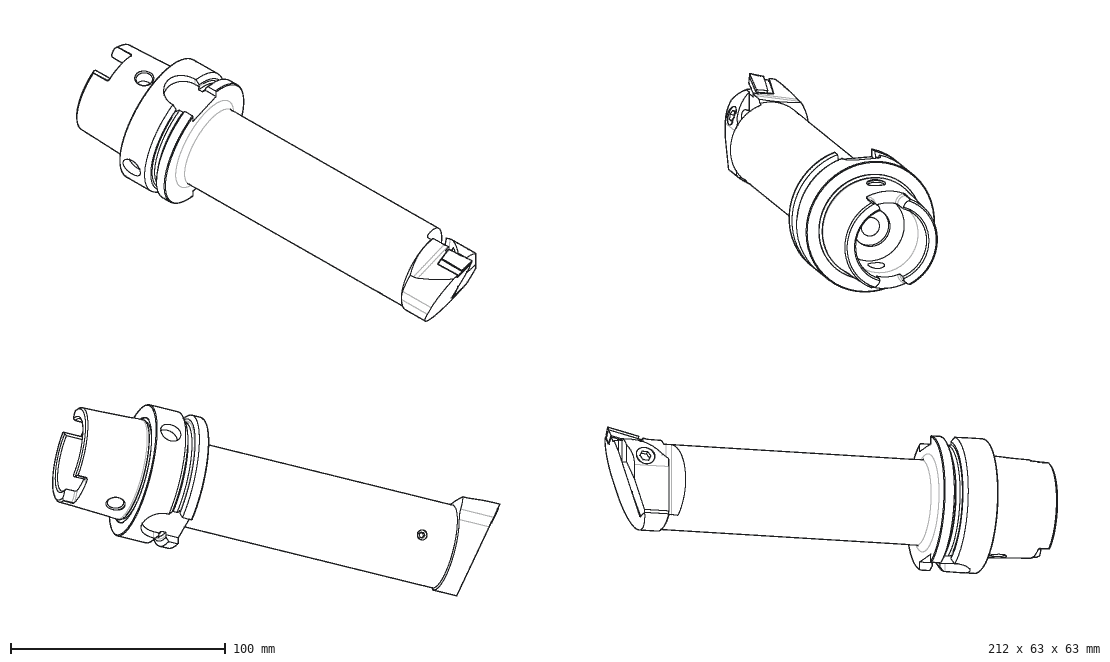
import cadquery as cq
import math


mouth_radius = 22.7
taper_radius = 24.0
taper_end_x = 29.9
taper_chamfer = 0.8
neck_radius = 23.3
neck_length = 0.6
flange_face_x = 31.5
face_recess_radius = 25.2
face_recess_depth = 0.6

bore_radius = 17.4
bore_chamfer = 0.8
bore_straight_depth = 13.5
bore_end_radius = 15.9
bore_depth = 29.7
counterbore_radius = 9.0
counterbore_depth = 2.1
coolant_radius = 4.5
coolant_cone_length = 2.5

slot_half_width = 5.7
slot_floor_fillet = 0.8
slot_corner_radius = 3.8
slot_corner_z = 20.3
upper_slot_depth = 9.3
lower_slot_depth = 5.7
cross_hole_radius = 3.8
cross_hole_mouth_radius = 4.5
cross_hole_x = 23.0

flange_diameter = 63.0
flange_radius = flange_diameter / 2
flange_chamfer = 0.5
flange_back_x = 57.8
groove_radius = 27.3
groove_shoulder_radius = 29.2
groove_fillet = 0.8
groove_start_x = 46.2
groove_floor_start_x = 48.0
groove_floor_end_x = 51.7
groove_end_x = 53.0
notch_half_width = 9.1
notch_center_x = 45.5
notch_floor = 26.3
chip_hole_diameter = 10.0
chip_hole_x = 38.8
chip_hole_depth = 4.7

bar_radius = 20.0
bar_fillet = 3.0
bar_end_x = 185.6

tip_x = 212.0
tip_z = 27.0
head_radius = 20.8
head_raise = 6.5
head_cone_slope = 1.4
end_slope_y = 0.06
end_slope_z = 0.34
end_setback = 0.32
bend_x = 193.9
bend_z = 20.8
bend_skew = 0.1
bend_radius = 8.3
rake_slope_x = 0.28
rake_slope_y = 0.19
nose_relief_start_x = 207.7

gullet_wall_y = 3.5
gullet_floor = -15.7
gullet_outer_x = 180.0
gullet_inner_x = 182.9
gullet_fillet = 2.1
ledge_floor = 20.1
ledge_start_x = 195.8
ledge_overlap = 0.5

insert_length = 15.3
insert_thickness = 1.3
insert_back_y = 1.5
insert_outline = [(0, 0), (-insert_length, insert_back_y), (-insert_length, -4.2), (-1.7, -6.5)]
shim_length = 16.0
shim_thickness = 2.5
shim_outline = [(0, 0), (-shim_length, insert_back_y), (-shim_length, -7.2), (-1.7, -9.3)]

clamp_radius = 14.8
clamp_start_x = 186.5
clamp_end_x = 206.0
clamp_chamfer_x = 2.8
clamp_chamfer_y = 3.8
clamp_wall_top = 21.6
clamp_wall_bend_x = 189.5
clamp_wall_end_x = 200.9
clamp_wall_foot = [(clamp_start_x, 8.3), (clamp_wall_bend_x, 8.3), (clamp_wall_end_x, 3.8)]
clamp_wall_head = [(clamp_start_x, 17.0), (clamp_wall_bend_x, 15.0), (clamp_wall_end_x, 4.0)]

clamp_screw_radius = 4.5
clamp_screw_length = 8.5
clamp_screw_x = 197.5
clamp_screw_angle = 20.0
set_screw_radius = 2.3
set_screw_length = 6.4
set_screw_x = 169.5
set_screw_angle = 214.0
screw_sink = 0.6
socket_ratio = 0.6
socket_depth = 2.1

reach = 84.8
overrun = 2.1


def bar_blank():
    """Solid of revolution: taper, flange with its gripper groove, and bar."""
    recess_x = flange_face_x + face_recess_depth
    neck_start_x = flange_face_x - neck_length
    return (
        cq.Workplane("XY")
        .moveTo(0, 0)
        .lineTo(0, mouth_radius - taper_chamfer)
        .lineTo(taper_chamfer, mouth_radius)
        .lineTo(taper_end_x, taper_radius)
        .lineTo(neck_start_x, taper_radius)
        .lineTo(neck_start_x, neck_radius)
        .lineTo(recess_x, neck_radius)
        .lineTo(recess_x, face_recess_radius)
        .lineTo(flange_face_x, face_recess_radius)
        .lineTo(flange_face_x, flange_radius - flange_chamfer)
        .lineTo(flange_face_x + flange_chamfer, flange_radius)
        .lineTo(groove_start_x, flange_radius)
        .lineTo(groove_floor_start_x, groove_shoulder_radius)
        .lineTo(groove_floor_start_x, groove_radius + groove_fillet)
        .radiusArc((groove_floor_start_x + groove_fillet, groove_radius), -groove_fillet)
        .lineTo(groove_floor_end_x - groove_fillet, groove_radius)
        .radiusArc((groove_floor_end_x, groove_radius + groove_fillet), -groove_fillet)
        .lineTo(groove_floor_end_x, groove_shoulder_radius)
        .lineTo(groove_end_x, flange_radius)
        .lineTo(flange_back_x - flange_chamfer, flange_radius)
        .lineTo(flange_back_x, flange_radius - flange_chamfer)
        .lineTo(flange_back_x, bar_radius + bar_fillet)
        .radiusArc((flange_back_x + bar_fillet, bar_radius), -bar_fillet)
        .lineTo(bar_end_x, bar_radius)
        .lineTo(bar_end_x, 0)
        .close()
        .revolve(360, (0, 0, 0), (1, 0, 0))
    )


def bore():
    """Stepped bore of the taper shank, ending in a conical coolant hole."""
    counterbore_x = bore_depth + counterbore_depth
    return (
        cq.Workplane("XY")
        .polyline([
            (0, 0),
            (0, bore_radius + bore_chamfer),
            (bore_chamfer, bore_radius),
            (bore_straight_depth, bore_radius),
            (bore_depth, bore_end_radius),
            (bore_depth, counterbore_radius),
            (counterbore_x, counterbore_radius),
            (counterbore_x, coolant_radius),
            (counterbore_x + coolant_cone_length, 0),
        ])
        .close()
        .revolve(360, (0, 0, 0), (1, 0, 0))
    )


def drive_slot(depth, side):
    """Slot across the taper wall, with rounded outer corners, on the +Z or -Z side."""
    flare = slot_half_width + slot_corner_radius
    round_z = slot_corner_z - slot_corner_radius
    slot = (
        cq.Workplane("YZ")
        .moveTo(-slot_half_width, 0)
        .lineTo(slot_half_width, 0)
        .lineTo(slot_half_width, side * round_z)
        .radiusArc((flare, side * slot_corner_z), side * slot_corner_radius)
        .lineTo(flare, side * flange_radius)
        .lineTo(-flare, side * flange_radius)
        .lineTo(-flare, side * slot_corner_z)
        .radiusArc((-slot_half_width, side * round_z), side * slot_corner_radius)
        .close()
        .extrude(depth)
    )
    return slot.faces(">X").edges().fillet(slot_floor_fillet)


def cross_hole():
    """Hole through both taper walls along Z, with countersunk mouths."""
    sink = cross_hole_mouth_radius - cross_hole_radius
    mouth_z = taper_radius - sink
    return (
        cq.Workplane("XZ", origin=(cross_hole_x, 0, 0))
        .polyline([
            (0, -taper_radius),
            (cross_hole_mouth_radius, -taper_radius),
            (cross_hole_mouth_radius, -mouth_z),
            (cross_hole_radius, sink - mouth_z),
            (cross_hole_radius, mouth_z - sink),
            (cross_hole_mouth_radius, mouth_z),
            (cross_hole_mouth_radius, taper_radius),
            (0, taper_radius),
        ])
        .close()
        .revolve(360, (0, 0, 0), (0, 1, 0))
    )


def flange_notch(side):
    """Round-ended flat running out of the flange back, on the +Z or -Z side."""
    height = flange_radius - notch_floor + overrun
    length = flange_back_x - notch_center_x
    middle = notch_floor + height / 2
    straight = cq.Workplane("XY").box(length, 2 * notch_half_width, height)
    straight = straight.translate((notch_center_x + length / 2, 0, 0))
    end = cq.Workplane("XY").cylinder(height, notch_half_width).translate((notch_center_x, 0, 0))
    return straight.union(end).translate((0, 0, side * middle))


def chip_hole():
    """Blind round hole in the -Y side of the flange."""
    return (
        cq.Workplane("XZ", origin=(chip_hole_x, chip_hole_depth - flange_radius, 0))
        .circle(chip_hole_diameter / 2)
        .extrude(reach)
    )


def beyond_plane(origin, normal):
    """Block filling the space on the side of a plane that its normal points to."""
    plane = cq.Plane(origin=origin, normal=normal)
    return cq.Workplane(plane).rect(2 * reach, 2 * reach).extrude(reach)


def beyond_end(setback):
    """Space in front of the slanted end face."""
    return beyond_plane((tip_x - setback, 0, tip_z), (1, -end_slope_y, -end_slope_z))


def head_blank():
    """Stadium-shaped head that widens out of the bar along a cone."""
    length = tip_x - bar_end_x
    cone_radius = bar_radius + head_cone_slope * length
    head = (
        cq.Workplane("YZ", origin=(bar_end_x, 0, 0))
        .moveTo(-head_radius, 0)
        .lineTo(-head_radius, head_raise)
        .threePointArc((0, head_raise + head_radius), (head_radius, head_raise))
        .lineTo(head_radius, 0)
        .threePointArc((0, -head_radius), (-head_radius, 0))
        .close()
        .extrude(length)
    )
    cone = (
        cq.Workplane("XY")
        .polyline([(bar_end_x, 0), (bar_end_x, bar_radius), (tip_x, cone_radius), (tip_x, 0)])
        .close()
        .revolve(360, (0, 0, 0), (1, 0, 0))
    )
    return head.intersect(cone).cut(beyond_end(end_setback))


def above_rake():
    """Space above the head's flat top and its rising rake face, joined by a fillet."""
    angle = math.atan(rake_slope_x)
    tangent = bend_radius * math.tan(angle / 2)
    plane = cq.Plane(
        origin=(bend_x, 0, bend_z),
        xDir=(1, -bend_skew, 0),
        normal=(-bend_skew, -1, -rake_slope_y),
    )
    flat_length = bend_x - gullet_outer_x
    rise = reach * rake_slope_x
    return (
        cq.Workplane(plane)
        .moveTo(-flat_length, 0)
        .lineTo(-tangent, 0)
        .radiusArc((tangent * math.cos(angle), tangent * math.sin(angle)), -bend_radius)
        .lineTo(reach, rise)
        .lineTo(reach, 2 * rise)
        .lineTo(-flat_length, 2 * rise)
        .close()
        .extrude(reach, both=True)
    )


def gullet():
    """Deep chip pocket on the +Y side of the head, running into the bar end."""
    pocket = (
        cq.Workplane("XY", origin=(0, 0, gullet_floor))
        .polyline([
            (gullet_outer_x, bar_radius),
            (gullet_inner_x, gullet_wall_y),
            (nose_relief_start_x, gullet_wall_y),
            (tip_x, 0),
            (tip_x + overrun, 0),
            (tip_x + overrun, 2 * bar_radius),
            (gullet_outer_x, 2 * bar_radius),
        ])
        .close()
        .extrude(reach)
    )
    corner_point = (gullet_inner_x, gullet_wall_y, gullet_floor + reach / 2)
    corner = cq.selectors.NearestToPointSelector(corner_point)
    return pocket.edges("|Z").edges(corner).fillet(gullet_fillet)


def insert_ledge():
    """Step beside the insert that leaves its +Y edge standing free."""
    return (
        cq.Workplane("XY", origin=(0, 0, ledge_floor))
        .polyline([
            (ledge_start_x, insert_back_y - ledge_overlap),
            (tip_x, -ledge_overlap),
            (tip_x, gullet_wall_y),
            (ledge_start_x, gullet_wall_y),
        ])
        .close()
        .extrude(tip_z - ledge_floor)
    )


def rake_prism(outline, top, thickness):
    """Plate parallel to the rake face, with its top at a depth below the tip."""
    normal = cq.Vector(-rake_slope_x, -rake_slope_y, 1).normalized()
    origin = cq.Vector(tip_x, 0, tip_z) - normal * top
    plane = cq.Plane(origin=origin, xDir=(1, 0, rake_slope_x), normal=normal)
    return cq.Workplane(plane).polyline(outline).close().extrude(-thickness)


def make_insert():
    """Cutting insert whose front corner is the tool tip."""
    return rake_prism(insert_outline, 0, insert_thickness).cut(beyond_end(0))


def make_shim():
    """Seat plate under the insert, wider than it on the -Y side."""
    return rake_prism(shim_outline, insert_thickness, shim_thickness).cut(beyond_end(0))


def insert_pocket():
    """Seat for the shim and the insert, open upward."""
    depth = insert_thickness + shim_thickness
    seat = rake_prism(shim_outline, 0, depth)
    return seat.union(rake_prism(insert_outline, 0, insert_thickness))


def screw_plane(x, axis_z, seat_radius, angle):
    """Plane facing outward from a line along X; the angle runs from +Y toward +Z."""
    y = math.cos(math.radians(angle))
    z = math.sin(math.radians(angle))
    return cq.Plane(
        origin=(x, seat_radius * y, axis_z + seat_radius * z), xDir=(1, 0, 0), normal=(0, y, z)
    )


def clamp_screw_plane():
    return screw_plane(clamp_screw_x, head_raise, clamp_radius - screw_sink, clamp_screw_angle)


def set_screw_plane():
    return screw_plane(set_screw_x, 0, bar_radius - screw_sink, set_screw_angle)


def make_screw(plane, radius, length):
    """Headless screw below a plane, with a hexagon socket in its outer end."""
    shank = cq.Workplane(plane).circle(radius).extrude(-length)
    socket = cq.Workplane(plane).polygon(6, 2 * socket_ratio * radius).extrude(-socket_depth)
    return shank.cut(socket)


def screw_hole(plane, radius, length):
    """Hole for a screw, open outward."""
    return cq.Workplane(plane).workplane(offset=-length).circle(radius).extrude(length + overrun)


def make_holder():
    """Taper shank, flange, bar and head in one piece, with seats for the other bodies."""
    holder = bar_blank().cut(bore())
    holder = holder.cut(drive_slot(upper_slot_depth, 1))
    holder = holder.cut(drive_slot(lower_slot_depth, -1))
    holder = holder.cut(cross_hole())
    for side in (1, -1):
        holder = holder.cut(flange_notch(side))
    holder = holder.cut(chip_hole())
    head = head_blank().cut(above_rake()).cut(insert_ledge())
    holder = holder.union(head).cut(gullet())
    holder = holder.cut(insert_pocket())
    return holder.cut(screw_hole(set_screw_plane(), set_screw_radius, set_screw_length))


def clamp_wall_outline(wall):
    """Outline between a clamp wall line and the gullet wall, with room beyond both ends."""
    (start_x, start_y), _, (end_x, _) = wall
    return [(start_x - overrun, start_y), *wall, (end_x, 0), (start_x - overrun, 0)]


def clamp_wall_space():
    """Space in front of the clamp's leaning wall, which faces the insert side."""
    return (
        cq.Workplane("XY", origin=(0, 0, gullet_floor))
        .polyline(clamp_wall_outline(clamp_wall_foot))
        .close()
        .workplane(offset=clamp_wall_top - gullet_floor)
        .polyline(clamp_wall_outline(clamp_wall_head))
        .close()
        .loft(ruled=True)
    )


def make_clamp():
    """Wedge standing in the gullet, with a round back and one bevelled corner."""
    round_top = head_raise + math.sqrt(clamp_radius**2 - gullet_wall_y**2)
    foot_y = math.sqrt(head_radius**2 - gullet_floor**2)
    foot_z = -math.sqrt(head_radius**2 - clamp_radius**2)
    body = (
        cq.Workplane("YZ", origin=(clamp_start_x, 0, 0))
        .moveTo(gullet_wall_y, gullet_floor)
        .lineTo(foot_y, gullet_floor)
        .radiusArc((clamp_radius, foot_z), -head_radius)
        .lineTo(clamp_radius, head_raise)
        .radiusArc((gullet_wall_y, round_top), -clamp_radius)
        .close()
        .extrude(clamp_end_x - clamp_start_x)
    )
    bevel = (
        cq.Workplane("XY", origin=(0, 0, gullet_floor))
        .polyline([
            (clamp_end_x, clamp_radius),
            (clamp_end_x - clamp_chamfer_x, clamp_radius),
            (clamp_end_x, clamp_radius - clamp_chamfer_y),
        ])
        .close()
        .extrude(reach)
    )
    body = body.cut(bevel).cut(clamp_wall_space()).cut(beyond_end(end_setback))
    return body.cut(screw_hole(clamp_screw_plane(), clamp_screw_radius, clamp_screw_length))


holder = make_holder()
insert = make_insert()
shim = make_shim()
clamp = make_clamp()
clamp_screw = make_screw(clamp_screw_plane(), clamp_screw_radius, clamp_screw_length)
set_screw = make_screw(set_screw_plane(), set_screw_radius, set_screw_length)

result = cq.Compound.makeCompound([
    holder.val(), insert.val(), shim.val(), clamp.val(), clamp_screw.val(), set_screw.val(),
])